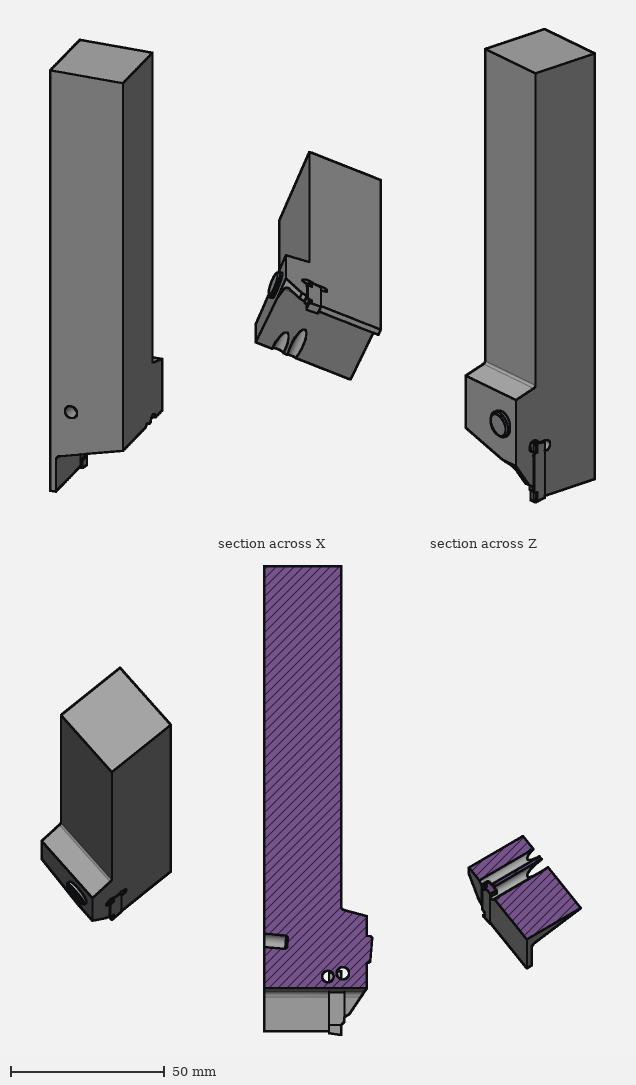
import cadquery as cq
import math

width = 25.6
shank_depth = 25.1
top_z = 152.4
holder_bottom_z = 1.2
head_y = 33.4
head_top_z = 38.7
head_bottom_z = 15.2
slope = math.tan(math.radians(15))
shoulder_radius = 0.9
underside_radius = 1.8
jaw_nose = (27.7, 6.9)
jaw_tip_z = 5.8
shoulder_root_z = head_top_z + (head_y - shank_depth) * slope

blade_thickness = 2.0
underside_root_z = 13.9
underside_outer_z = underside_root_z + (width - blade_thickness) * slope

insert_height = 20.9
insert_seat_y = 21.0
insert_back_y = 26.0
rake_y = 25.1
insert_width = 2.6
end_length = 3.4
end_ramp = 0.9
edge_relief = 0.6
groove_margin = 0.6
groove_depth = 0.9
groove_width = 0.9
ridge_bevel = 0.5

relief_holes = [(25.6, 20.1, 2.0), (20.7, 19.0, 1.8)]

screw_x = 7.3
screw_tilt = 5.0
screw_head_z = 27.9
screw_head_diameter = 8.8
screw_head_rise = 1.5
screw_head_chamfer = 0.6
screw_head_sunk = 1.5
access_hole_diameter = 4.3
access_hole_depth = 7.6
access_hole_taper = 0.6
access_hole_lead = 1.5
access_hole_z = screw_head_z + head_y * math.tan(math.radians(screw_tilt))


def tilted_cylinder(diameter, length, y, z):
    """Cylinder that starts at (screw_x, y, z) and runs along the screw axis towards +Y."""
    tilt = math.radians(screw_tilt)
    axis_plane = cq.Plane(origin=(screw_x, y, z), xDir=(1, 0, 0), normal=(0, math.cos(tilt), -math.sin(tilt)))
    return cq.Workplane(axis_plane).circle(diameter / 2).extrude(length)


def make_holder_blank():
    side_outline = [
        (0, holder_bottom_z),
        (insert_back_y, holder_bottom_z),
        (insert_back_y, jaw_tip_z),
        jaw_nose,
        (head_y, head_bottom_z),
        (head_y, head_top_z),
        (shank_depth, shoulder_root_z),
        (shank_depth, top_z),
        (0, top_z),
    ]
    blank = cq.Workplane("YZ").polyline(side_outline).close().extrude(width)
    shoulder_root = cq.selectors.NearestToPointSelector((width / 2, shank_depth, shoulder_root_z))
    return blank.edges(shoulder_root).fillet(shoulder_radius)


def make_underside_cut():
    """Wedge removed below the shank, which leaves the thin blade."""
    outline = [
        (blade_thickness, 0),
        (width, 0),
        (width, underside_outer_z),
        (blade_thickness, underside_root_z),
    ]
    cut = cq.Workplane("XZ").polyline(outline).close().extrude(-head_y)
    root = cq.selectors.NearestToPointSelector((blade_thickness, head_y / 2, underside_root_z))
    return cut.edges(root).fillet(underside_radius)


def make_insert_slot():
    return cq.Workplane("XY").box(
        insert_width, insert_back_y - insert_seat_y, insert_height, centered=False
    ).translate((0, insert_seat_y, 0))


def make_screw_head():
    tilt = math.radians(screw_tilt)
    start_y = head_y - screw_head_sunk * math.cos(tilt)
    start_z = screw_head_z + screw_head_sunk * math.sin(tilt)
    head = tilted_cylinder(screw_head_diameter, screw_head_sunk + screw_head_rise, start_y, start_z)
    return head.faces(">Y").chamfer(screw_head_chamfer)


def make_access_hole():
    """Blind hole from the front face, on the screw axis, with a bevelled bottom."""
    tilt = math.radians(screw_tilt)
    start_y = -access_hole_lead * math.cos(tilt)
    start_z = access_hole_z + access_hole_lead * math.sin(tilt)
    hole = tilted_cylinder(access_hole_diameter, access_hole_lead + access_hole_depth, start_y, start_z)
    return hole.faces(">Y").chamfer(access_hole_taper)


def make_holder():
    body = make_holder_blank().cut(make_underside_cut()).cut(make_insert_slot())
    for y, z, radius in relief_holes:
        body = body.cut(cq.Workplane("YZ").center(y, z).circle(radius).extrude(width))
    body = body.cut(make_access_hole())
    return body.union(make_screw_head())


def make_insert():
    ramp_z = end_length + end_ramp
    outline = [
        (insert_seat_y, edge_relief),
        (rake_y, 0),
        (rake_y, end_length),
        (insert_back_y, ramp_z),
        (insert_back_y, insert_height - ramp_z),
        (rake_y, insert_height - end_length),
        (rake_y, insert_height),
        (insert_seat_y, insert_height - edge_relief),
    ]
    body = cq.Workplane("YZ").polyline(outline).close().extrude(insert_width)

    middle_height = insert_height - 2 * end_length
    side_clearance = cq.Workplane("XY").box(
        insert_width - blade_thickness, insert_back_y, middle_height, centered=False
    ).translate((blade_thickness, 0, end_length))
    body = body.cut(side_clearance)

    bevel_outline = [
        (0, insert_back_y),
        (ridge_bevel, insert_back_y),
        (0, insert_back_y - ridge_bevel),
    ]
    body = body.cut(cq.Workplane("XY").polyline(bevel_outline).close().extrude(insert_height))

    groove_length = end_length - groove_margin
    for groove_z in (groove_margin, insert_height - end_length):
        groove = cq.Workplane("XY").box(
            groove_width, groove_depth, groove_length, centered=False
        ).translate((0, rake_y - groove_depth, groove_z))
        body = body.cut(groove)
    return body


holder = make_holder()
insert = make_insert()

result = cq.Compound.makeCompound([holder.val(), insert.val()])